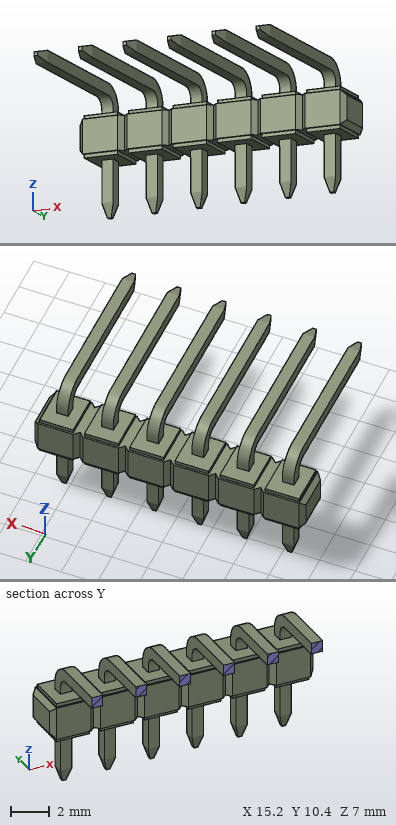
import cadquery as cq


row_length = 15.24
overall_depth = 10.41
overall_height = 7.0

pin_count = 6
pitch = row_length / pin_count
housing_depth = 2.48
housing_height = 1.87
bevel = 0.27

pad_length = 1.9
pad_depth = 2.27
pad_thickness = 0.2

pin_width = 0.65
bend_outer_radius = 1.28
bend_inner_radius = bend_outer_radius - pin_width
taper_length = 0.76
tip_width = 0.21
tail_length = 3.06

pad_face_height = housing_height / 2 + pad_thickness
pin_bottom = -pad_face_height - tail_length
pin_top = pin_bottom + overall_height
leg_center_height = pin_top - pin_width / 2
leg_end = housing_depth / 2 - overall_depth


def cell_center(index):
    """X position of one cell, with the row centred on the origin."""
    return (index - (pin_count - 1) / 2) * pitch


def make_housing():
    """Bar with bevelled end faces and a V notch on both long sides between cells."""
    bar = cq.Workplane("XY").box(row_length, housing_depth, housing_height)
    bar = bar.faces("<X or >X").chamfer(bevel)
    notch_side = bevel * 2 ** 0.5
    notch_cutter = cq.Workplane("XY").box(notch_side, notch_side, housing_height)
    notch_cutter = notch_cutter.rotate((0, 0, 0), (0, 0, 1), 45)
    for index in range(pin_count - 1):
        joint = cell_center(index) + pitch / 2
        for side in (-1, 1):
            bar = bar.cut(notch_cutter.translate((joint, side * housing_depth / 2, 0)))
    return bar


def make_tip(plane):
    """Square pyramid frustum that narrows along the plane's normal."""
    return (
        cq.Workplane(plane)
        .rect(pin_width, pin_width)
        .workplane(offset=taper_length)
        .rect(tip_width, tip_width)
        .loft(ruled=True)
    )


def make_pin():
    """Square pin that rises through the housing and bends forward into a leg."""
    half_width = pin_width / 2
    straight_bottom = pin_bottom + taper_length
    leg_straight_end = leg_end + taper_length
    shank = (
        cq.Workplane("YZ")
        .moveTo(half_width, straight_bottom)
        .lineTo(half_width, pin_top - bend_outer_radius)
        .radiusArc((half_width - bend_outer_radius, pin_top), -bend_outer_radius)
        .lineTo(leg_straight_end, pin_top)
        .lineTo(leg_straight_end, pin_top - pin_width)
        .lineTo(half_width - bend_outer_radius, pin_top - pin_width)
        .radiusArc((-half_width, pin_top - bend_outer_radius), bend_inner_radius)
        .lineTo(-half_width, straight_bottom)
        .close()
        .extrude(half_width, both=True)
    )
    lower_tip = make_tip(cq.Plane((0, 0, straight_bottom), (1, 0, 0), (0, 0, -1)))
    leg_tip = make_tip(cq.Plane((0, leg_straight_end, leg_center_height), (1, 0, 0), (0, -1, 0)))
    return shank.union(lower_tip).union(leg_tip)


pad_block = cq.Workplane("XY").box(pad_length, pad_depth, 2 * pad_face_height)
cell_insert = pad_block.union(make_pin())
result = make_housing()
for cell in range(pin_count):
    result = result.union(cell_insert.translate((cell_center(cell), 0, 0)))